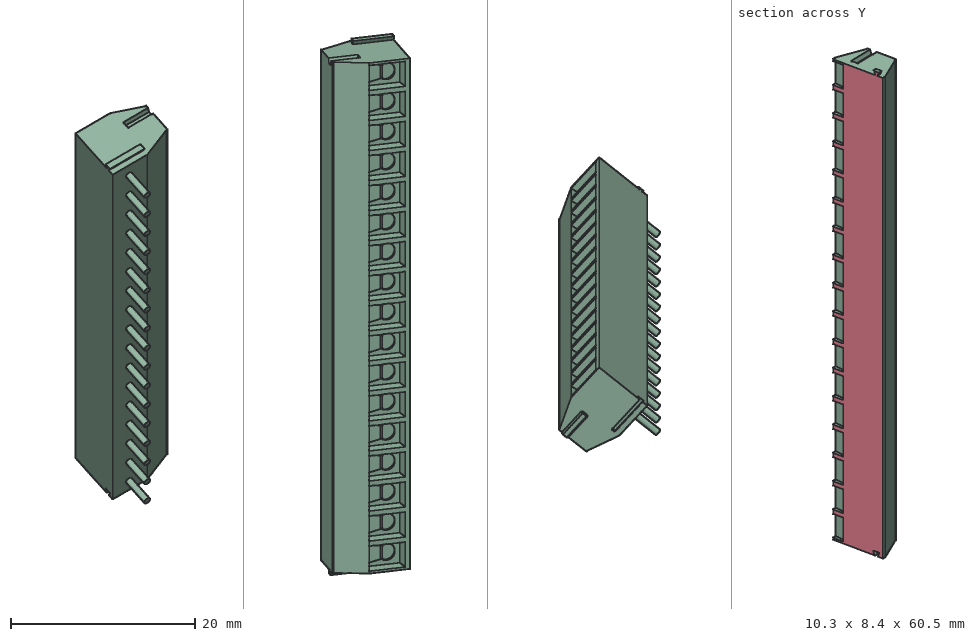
import cadquery as cq
import math

cell_count = 17
overall_height = 60.45
rail_height = 0.5
body_height = overall_height - 2 * rail_height
pitch = body_height / cell_count
body_width = 6.9
body_depth = 8.4
bevel_start = 4.65
bevel_inset = 1.45
back_lip = 0.2

overall_width = 10.3
pin_diameter = 0.8
pin_y = 2.2
pin_root = 1.2

pocket_front = 0.55
pocket_height = 2.9
pocket_depth = 1.4
front_wall_draft = 0.2
back_wall_draft = 0.2

hole_radius = 0.95
hole_y = 2.25
hole_flat_y = 2.65
hole_depth = 0.25
ramp_width = 0.3
ramp_angle = 35.0
slot_back = bevel_start - back_wall_draft
slot_end_draft = 0.35
slot_back_height = 2.2
slot_front_height = 1.45

groove_depth = 0.55
front_key_x = 6.0
front_key_wide = 0.8
front_key_narrow = 0.35
front_key_length = bevel_start
back_key_x = 2.3
back_key_wide = 0.9
back_key_narrow = 0.55
back_key_length = 3.3


def make_body():
    """Housing outline bevelled on both sides up to a short square lip at the back."""
    outline = [
        (0, 0),
        (body_width, 0),
        (body_width, bevel_start),
        (body_width - bevel_inset, body_depth - back_lip),
        (body_width - bevel_inset, body_depth),
        (bevel_inset, body_depth),
        (bevel_inset, body_depth - back_lip),
        (0, bevel_start),
    ]
    return cq.Workplane("XY").polyline(outline).close().extrude(body_height)


def make_key(center_x, widths_by_z, y_start, length):
    """Bar along +Y with a symmetric section, given as (z, width) pairs along its height."""
    right_side = [(center_x + width / 2, z) for z, width in widths_by_z]
    left_side = [(center_x - width / 2, z) for z, width in reversed(widths_by_z)]
    section = cq.Workplane("XZ", origin=(0, y_start, 0)).polyline(right_side + left_side).close()
    return section.extrude(-length)


def make_front_key(base_z, height):
    """Dovetail along the front of the housing that widens upwards from base_z."""
    widths_by_z = [(base_z, front_key_narrow), (base_z + height, front_key_wide)]
    return make_key(front_key_x, widths_by_z, 0, front_key_length)


def make_back_key(widths_by_z):
    """Bar of the given section that ends flush with the back of the housing."""
    return make_key(back_key_x, widths_by_z, body_depth - back_key_length, back_key_length)


def make_back_rail():
    """Rail below the housing, widest at half its height."""
    return make_back_key(
        [(0, back_key_narrow), (-rail_height / 2, back_key_wide), (-rail_height, back_key_narrow)]
    )


def make_back_groove():
    """Groove in the top of the housing that narrows towards its floor."""
    return make_back_key([(body_height, back_key_wide), (body_height - groove_depth, back_key_narrow)])


def extrude_in_z(outline, height, center_z):
    """Prism with an XY outline, centred on center_z."""
    base = cq.Workplane("XY", origin=(0, 0, center_z - height / 2))
    return base.polyline(outline).close().extrude(height)


def make_pocket(center_z):
    """Wire pocket with drafted front and back walls."""
    outline = [
        (0, pocket_front),
        (0, bevel_start),
        (pocket_depth, bevel_start - back_wall_draft),
        (pocket_depth, pocket_front + front_wall_draft),
    ]
    return extrude_in_z(outline, pocket_height, center_z)


def make_wire_hole(center_z):
    """Round hole cut flat on its +Y side, with the tapered slot beside it and a ramp between them."""
    hole_floor = pocket_depth + hole_depth
    slot_floor = hole_floor - ramp_width * math.tan(math.radians(ramp_angle))
    round_hole = (
        cq.Workplane("YZ", origin=(pocket_depth, 0, 0))
        .center(hole_y, center_z)
        .circle(hole_radius)
        .extrude(hole_depth)
    )
    flat_side = extrude_in_z(
        [
            (pocket_depth, hole_y - hole_radius),
            (pocket_depth, hole_flat_y),
            (hole_floor, hole_flat_y),
            (hole_floor, hole_y - hole_radius),
        ],
        2 * hole_radius,
        center_z,
    )
    slot_side = extrude_in_z(
        [
            (pocket_depth, hole_flat_y),
            (pocket_depth, slot_back),
            (slot_floor, slot_back - slot_end_draft),
            (slot_floor, hole_flat_y + ramp_width),
            (hole_floor, hole_flat_y),
        ],
        slot_back_height,
        center_z,
    )
    slot_outline = [
        (hole_flat_y, center_z - slot_front_height / 2),
        (slot_back, center_z - slot_back_height / 2),
        (slot_back, center_z + slot_back_height / 2),
        (hole_flat_y, center_z + slot_front_height / 2),
    ]
    slot_plane = cq.Workplane("YZ", origin=(pocket_depth, 0, 0))
    taper = slot_plane.polyline(slot_outline).close().extrude(hole_depth)
    return round_hole.intersect(flat_side).union(slot_side.intersect(taper))


def make_pin(center_z):
    """Round solder pin along +X, rooted inside the housing."""
    start_x = body_width - pin_root
    return (
        cq.Workplane("YZ", origin=(start_x, 0, 0))
        .center(pin_y, center_z)
        .circle(pin_diameter / 2)
        .extrude(overall_width - start_x)
    )


result = make_body()
result = result.cut(make_front_key(0, groove_depth)).cut(make_back_groove())
result = result.union(make_front_key(body_height, rail_height)).union(make_back_rail())
for cell in range(cell_count):
    cell_z = (cell + 0.5) * pitch
    result = result.cut(make_pocket(cell_z)).cut(make_wire_hole(cell_z)).union(make_pin(cell_z))